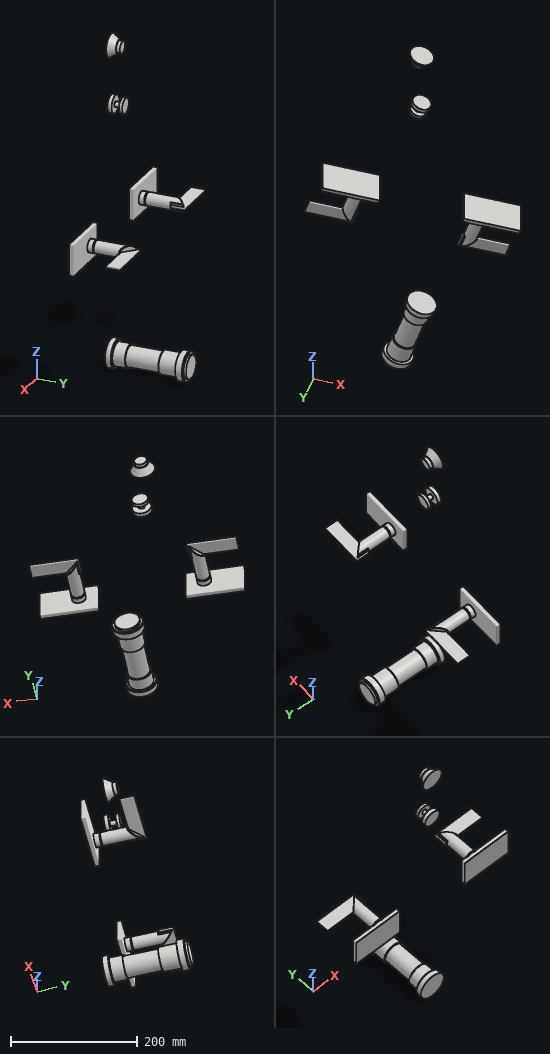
import cadquery as cq

total_height = 579.0
total_width = 333.0

handle_length = 138.5
front_flange_radius = 25.0
rear_flange_radius = 25.5
collar_radius = 20.0
bar_radius = 18.0
front_flange_end = 11.0
front_collar_end = 32.5
rear_collar_start = 90.5
rear_flange_start = 121.5
rear_flange_end = 134.5
flange_chamfer = 1.0
handle_center_z = rear_flange_radius

cone_face_radius = 20.0
cone_small_radius = 11.5
cone_neck_radius = 10.5
cone_length = 13.5
cone_knob_length = 19.5
cone_center_z = total_height - cone_face_radius

spool_face_radius = 15.5
spool_neck_radius = 4.5
spool_rear_radius = 13.5
spool_face_thickness = 7.5
spool_rear_start = 19.0
spool_length = 25.0
spool_center_z = 458.0

plate_width = 94.5
plate_height = 55.5
plate_thickness = 8.0
plate_corner_radius = 2.0
plate_edge_radius = 1.0
plate_inner_x = 70.0
plate_center_z = 253.5
stem_diameter = 22.5
stem_radius = stem_diameter / 2
stem_center_x = 101.0
stem_center_z = 254.0
stem_miter_start = 63.0
miter_chamfer = 0.5
pad_height = 12.0
pad_start_y = 62.5
groove_start = 17.5
groove_width = 2.0
groove_depth = 0.5
blade_start_y = 64.0
blade_depth = 24.5
blade_thickness = 4.5
blade_length = 80.0
blade_edge_radius = 0.5
blade_outer_x = total_width / 2


def turned_body(profile, center_z):
    """Revolve a (radius, y) profile, closed along the axis, about the Y direction."""
    body = cq.Workplane("XY").polyline(profile).close().revolve(360, (0, 0, 0), (0, 1, 0))
    return body.translate((0, 0, center_z))


def make_roller_handle():
    profile = [
        (0, 0),
        (front_flange_radius, 0),
        (front_flange_radius, front_flange_end - flange_chamfer),
        (front_flange_radius - flange_chamfer, front_flange_end),
        (collar_radius, front_flange_end),
        (collar_radius, front_collar_end),
        (bar_radius, front_collar_end),
        (bar_radius, rear_collar_start),
        (collar_radius, rear_collar_start),
        (collar_radius, rear_flange_start),
        (rear_flange_radius, rear_flange_start),
        (rear_flange_radius, rear_flange_end - flange_chamfer),
        (rear_flange_radius - flange_chamfer, rear_flange_end),
        (collar_radius, rear_flange_end),
        (collar_radius, handle_length),
        (0, handle_length),
    ]
    return turned_body(profile, handle_center_z)


def make_cone_knob():
    profile = [
        (0, 0),
        (cone_face_radius, 0),
        (cone_small_radius, cone_length),
        (cone_neck_radius, cone_length),
        (cone_neck_radius, cone_knob_length),
        (0, cone_knob_length),
    ]
    return turned_body(profile, cone_center_z)


def make_spool_knob():
    profile = [
        (0, 0),
        (spool_face_radius, 0),
        (spool_face_radius, spool_face_thickness),
        (spool_neck_radius, spool_face_thickness),
        (spool_neck_radius, spool_rear_start),
        (spool_rear_radius, spool_rear_start),
        (spool_rear_radius, spool_length),
        (0, spool_length),
    ]
    return turned_body(profile, spool_center_z)


def make_plate():
    """Wall plate with its corners and rear edges rounded."""
    plate = cq.Workplane("XY").box(
        plate_width, plate_thickness, plate_height, centered=(False, False, True)
    )
    plate = plate.edges("|Y").fillet(plate_corner_radius)
    plate = plate.faces(">Y").edges().fillet(plate_edge_radius)
    return plate.translate((plate_inner_x, 0, plate_center_z))


def make_stem():
    """Round grooved stem with a pad on its inner side.

    The end of the stem and its pad is mitred at 45 degrees, facing away from X = 0.
    """
    inner_x = stem_center_x - stem_radius
    outer_x = stem_center_x + stem_radius
    stem_end_y = stem_miter_start + stem_diameter
    grooved_radius = stem_radius - groove_depth
    profile = [
        (0, 0),
        (stem_radius, 0),
        (stem_radius, groove_start),
        (grooved_radius, groove_start),
        (grooved_radius, groove_start + groove_width),
        (stem_radius, groove_start + groove_width),
        (stem_radius, stem_end_y),
        (0, stem_end_y),
    ]
    stem = turned_body(profile, stem_center_z).translate((stem_center_x, 0, 0))
    pad = (
        cq.Workplane("XY")
        .box(stem_radius, stem_end_y - pad_start_y, pad_height, centered=(False, False, True))
        .translate((inner_x, pad_start_y, stem_center_z))
    )
    miter_cut = (
        cq.Workplane("XY")
        .polyline([(inner_x, stem_end_y), (outer_x, stem_miter_start), (outer_x, stem_end_y)])
        .close()
        .extrude(stem_radius, both=True)
        .translate((0, 0, stem_center_z))
    )
    stem = stem.union(pad).cut(miter_cut)
    miter_normal = cq.Vector(1, 1, 0)
    miter_face = stem.faces(cq.selectors.DirectionMinMaxSelector(miter_normal))
    return miter_face.edges("not |Z").chamfer(miter_chamfer)


def make_blade():
    """Flat grip with all edges rounded, crossing the mitred end of the stem."""
    blade = cq.Workplane("XY").box(
        blade_length, blade_depth, blade_thickness, centered=(False, False, True)
    )
    blade = blade.edges().fillet(blade_edge_radius)
    return blade.translate((blade_outer_x - blade_length, blade_start_y, stem_center_z))


def make_lever_handle(mirrored):
    lever = make_plate().union(make_stem()).union(make_blade())
    if mirrored:
        lever = lever.mirror("YZ")
    return lever


roller_handle = make_roller_handle()
cone_knob = make_cone_knob()
spool_knob = make_spool_knob()
lever_handles = [make_lever_handle(mirrored) for mirrored in (False, True)]

result = cq.Compound.makeCompound(
    [roller_handle.val(), cone_knob.val(), spool_knob.val()]
    + [lever.val() for lever in lever_handles]
)